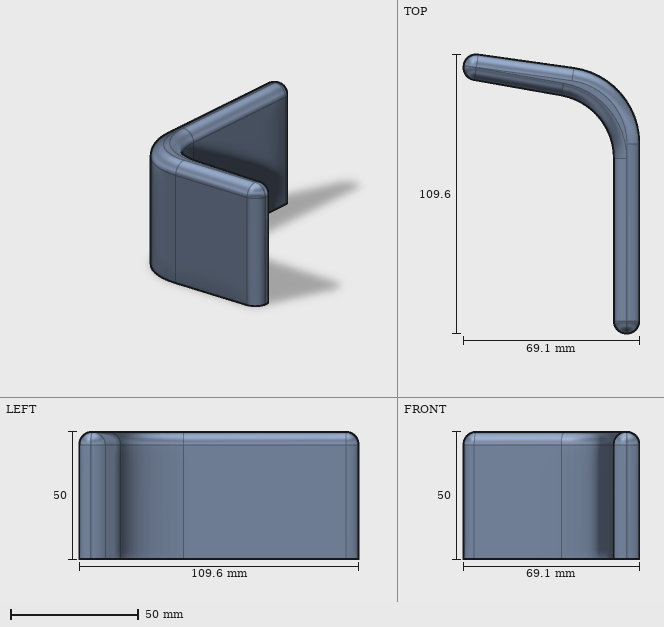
import cadquery as cq
import math

width = 69.1
length = 109.6
height = 50.0
thickness = 10.1
top_flat = 0.09
end_flat = 0.02
edge_radius = (thickness - top_flat) / 2
end_width = 2 * edge_radius + end_flat

outer_radius = 30.0
inner_radius = 25.0
outer_leg_angle = math.radians(8)
inner_leg_angle = math.radians(10)
outer_face_x = width
inner_face_x = width - thickness

leg_cos = math.cos(outer_leg_angle)
leg_sin = math.sin(outer_leg_angle)
outer_tip = (
    edge_radius + edge_radius * (leg_sin - leg_cos),
    length - edge_radius + edge_radius * (leg_cos + leg_sin),
)
inner_tip = (
    outer_tip[0] - end_width * leg_sin,
    outer_tip[1] - end_width * leg_cos,
)


def bend_points(face_x, tip, radius, leg_angle):
    """Start, middle and end of the arc joining a long-leg face to a short-leg face."""
    turn = math.pi / 2 - leg_angle
    end_x = face_x - radius * (1 - math.cos(turn))
    end_y = tip[1] - (end_x - tip[0]) * math.tan(leg_angle)
    start_y = end_y - radius * math.sin(turn)
    middle = (
        face_x - radius * (1 - math.cos(turn / 2)),
        start_y + radius * math.sin(turn / 2),
    )
    return (face_x, start_y), middle, (end_x, end_y)


outer_start, outer_middle, outer_end = bend_points(outer_face_x, outer_tip, outer_radius, outer_leg_angle)
inner_start, inner_middle, inner_end = bend_points(inner_face_x, inner_tip, inner_radius, inner_leg_angle)

wall = (
    cq.Workplane("XY")
    .moveTo(inner_face_x, 0)
    .lineTo(outer_face_x, 0)
    .lineTo(*outer_start)
    .threePointArc(outer_middle, outer_end)
    .lineTo(*outer_tip)
    .lineTo(*inner_tip)
    .lineTo(*inner_end)
    .threePointArc(inner_middle, inner_start)
    .close()
    .extrude(height)
)

end_corners = [(inner_face_x, 0), (outer_face_x, 0), outer_tip, inner_tip]
mid_height = height / 2
rounded = wall.edges(">Z")
for x, y in end_corners:
    rounded = rounded.add(wall.edges(cq.selectors.NearestToPointSelector((x, y, mid_height))))
result = rounded.fillet(edge_radius)